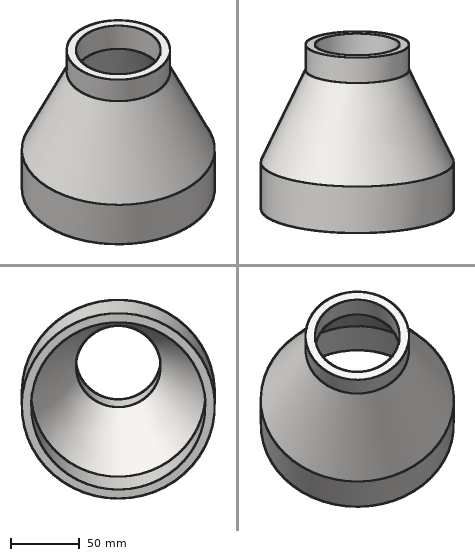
import math
import cadquery as cq

base_diameter = 140.0
neck_diameter = 75.0
wall = 6.9
base_height = 35.0
cone_height = 69.0
neck_height = 19.0
total_height = base_height + cone_height + neck_height

cone_half_angle = math.atan2((base_diameter - neck_diameter) / 2, cone_height)
bend_drop = wall * math.tan(cone_half_angle / 2)


def stepped_cone(inset, drop):
    """Wide cylinder, cone and neck, with radii reduced by inset and bends lowered by drop."""
    base_radius = base_diameter / 2 - inset
    neck_radius = neck_diameter / 2 - inset
    cone_bottom = base_height - drop
    cone_top = cone_bottom + cone_height
    return (
        cq.Workplane("XZ")
        .moveTo(0, 0)
        .lineTo(base_radius, 0)
        .lineTo(base_radius, cone_bottom)
        .lineTo(neck_radius, cone_top)
        .lineTo(neck_radius, total_height)
        .lineTo(0, total_height)
        .close()
        .revolve(360, (0, 0, 0), (0, 1, 0))
    )


outer_body = stepped_cone(inset=0, drop=0)
passage = stepped_cone(inset=wall, drop=bend_drop)
result = outer_body.cut(passage)